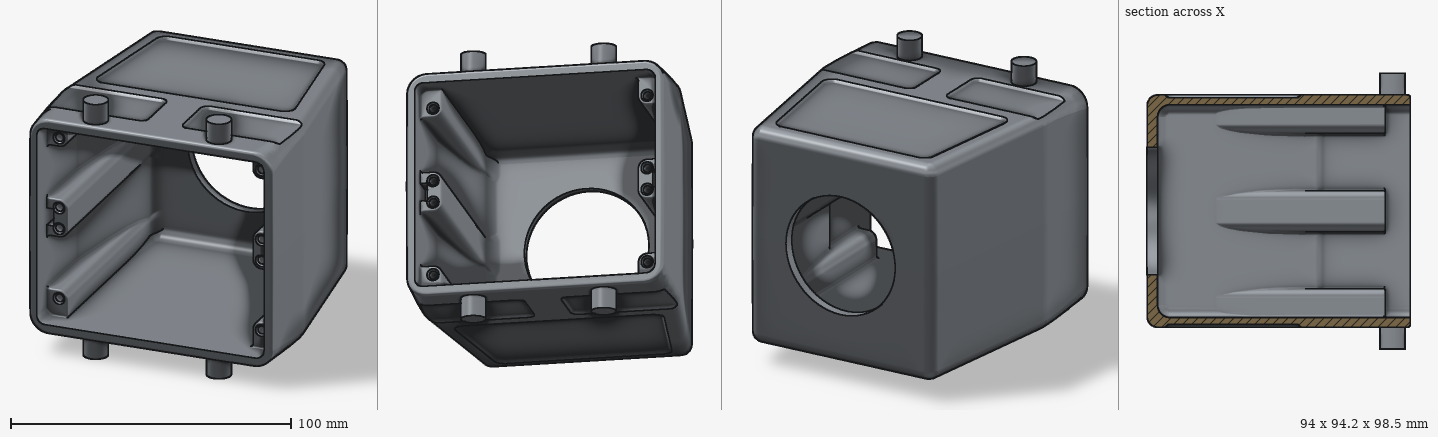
import cadquery as cq
import math


WIDTH = 94.0
LENGTH = 94.15
HEIGHT = 83.0
PARTING_DRAFT = 0.25
SIDE_SLOPE = 8.0
SKIRT_LENGTH = 30.0
SKIRT_BLEND = 20.0
EDGE_RADIUS = 4.0
RIM_CORNER_RADIUS = 7.5
RIM_ROUND = 1.2

CAVITY_HALF_WIDTH = 43.8
CAVITY_HEIGHT = 75.8
CAVITY_CORNER = 3.0
FLOOR_RADIUS = 4.4
SIDE_FLOOR_RADIUS = 3.5
BACK_WALL = 4.0
CAVITY_SKIRT_END = 43.2
CAVITY_SLOPE_START = 36.0
THICK_WALL = 2.8
STEP_START = 31.0
STEP_END = 33.5
STEP_ROUND = 1.5
CABLE_HOLE_DIAMETER = 45.4

POST_START = 9.0
POST_HOLE_X = 39.0
CORNER_HOLE_Z = 31.0
CENTRE_HOLE_Z = 4.0
POST_RADIUS = 3.3
POST_END_ROUND = 0.6
POST_FILLET = 1.2
SCREW_DIAMETER = 3.0
SCREW_DEPTH = 12.0
SCREW_CHAMFER = 0.7
NOTCH_X = 41.0
NOTCH_HEIGHT = 6.6
NOTCH_DEPTH = 8.0

PIN_DIAMETER = 9.0
PIN_SPACING = 47.5
PIN_Y = 6.45
PIN_SPAN = 98.5
PIN_EMBED = 1.0

RECESS_DEPTH = 1.0
RECESS_FLOOR_ROUND = 0.4
RECESS_WALL = 1.2
PANEL_FRONT = 39.0
PANEL_BACK = 87.6
PANEL_FRONT_HALF = 38.7
PANEL_CORNER = 4.0
PAD_FRONT = 11.7
PAD_BACK = 33.6
PAD_INNER = 6.6
PAD_CORNER = 3.0

TOLERANCE = 0.01

HALF_HEIGHT = HEIGHT / 2
SLOPE = math.tan(math.radians(SIDE_SLOPE))


def box_between(x_range, y_range, z_range):
    sizes = [high - low for low, high in (x_range, y_range, z_range)]
    corner = (x_range[0], y_range[0], z_range[0])
    return cq.Workplane("XY").box(*sizes, centered=False).translate(corner)


def near_y(y):
    """Selector for edges of the upper half shell whose centres lie close to the given Y."""
    reach = 1
    return cq.selectors.BoxSelector(
        (-WIDTH, y - reach, TOLERANCE), (WIDTH, y + reach, HALF_HEIGHT - TOLERANCE))


def mirrored_pair(part, plane):
    return part.union(part.mirror(plane))


def round_long_edges(solid):
    """Round the rim of the flat Z face, widening along the skirt toward the opening."""
    builder = cq.occ_impl.shapes.BRepFilletAPI_MakeFillet(solid.wrapped)
    for edge in solid.Edges():
        centre = edge.Center()
        on_flat_face = centre.z > HALF_HEIGHT - TOLERANCE
        if on_flat_face and TOLERANCE < centre.y < SKIRT_LENGTH / 2 + 1:
            starts_at_opening = edge.startPoint().y < TOLERANCE
            start_radius, end_radius = EDGE_RADIUS, RIM_CORNER_RADIUS
            if starts_at_opening:
                start_radius, end_radius = RIM_CORNER_RADIUS, EDGE_RADIUS
            builder.Add(start_radius, end_radius, edge.wrapped)
    return cq.Workplane(cq.Shape.cast(builder.Shape()).Solids()[0])


def outer_shell():
    back_half_width = WIDTH / 2 - (LENGTH - SKIRT_LENGTH) * SLOPE
    half = (
        cq.Workplane("XY")
        .moveTo(-WIDTH / 2, -SKIRT_LENGTH)
        .lineTo(WIDTH / 2, -SKIRT_LENGTH)
        .lineTo(WIDTH / 2, SKIRT_LENGTH)
        .lineTo(back_half_width, LENGTH)
        .lineTo(-back_half_width, LENGTH)
        .lineTo(-WIDTH / 2, SKIRT_LENGTH)
        .close()
        .extrude(HALF_HEIGHT, taper=PARTING_DRAFT)
    )
    half = half.intersect(box_between((-WIDTH, WIDTH), (0, LENGTH), (0, HEIGHT)))

    half = half.edges(near_y(SKIRT_LENGTH)).edges("not #Z").fillet(SKIRT_BLEND)
    half = half.edges(near_y(LENGTH)).edges("not #Z").fillet(EDGE_RADIUS)
    half = round_long_edges(half.val().Solids()[0])
    half = half.faces("<Y").edges("not(<Z)").fillet(RIM_ROUND)
    return mirrored_pair(half, "XY")


def cavity():
    floor_y = LENGTH - BACK_WALL
    lean = (floor_y - CAVITY_SLOPE_START) * SLOPE
    step_x = CAVITY_SKIRT_END - THICK_WALL + (CAVITY_SLOPE_START - STEP_END) * SLOPE
    space = (
        cq.Workplane("XY")
        .moveTo(-CAVITY_HALF_WIDTH, 0)
        .lineTo(CAVITY_HALF_WIDTH, 0)
        .lineTo(CAVITY_SKIRT_END, STEP_START)
        .lineTo(step_x, STEP_END)
        .lineTo(CAVITY_SKIRT_END - THICK_WALL - lean, floor_y)
        .lineTo(lean - CAVITY_SKIRT_END, floor_y)
        .lineTo(-CAVITY_SKIRT_END, CAVITY_SLOPE_START)
        .close()
        .extrude(CAVITY_HEIGHT / 2, both=True)
    )
    step_bends = cq.selectors.BoxSelector(
        (0, STEP_START - TOLERANCE, -HEIGHT), (WIDTH, STEP_END + TOLERANCE, HEIGHT))
    space = space.edges(step_bends).edges("|Z").fillet(STEP_ROUND)
    space = space.faces(">Y").edges("|X").fillet(FLOOR_RADIUS)
    space = space.faces(">Y").edges("|Z").fillet(SIDE_FLOOR_RADIUS)
    corners = cq.selectors.BoxSelector((-WIDTH, 1, -HEIGHT), (WIDTH, LENGTH * 2 / 3, HEIGHT))
    return space.faces("<Z or >Z").edges(corners).fillet(CAVITY_CORNER)


def post(z_low, z_high):
    """Screw post on the +X side, with its foot flared into the cavity floor."""
    floor_y = LENGTH - BACK_WALL
    face_x = POST_HOLE_X - POST_RADIUS
    bar = box_between((face_x, WIDTH / 2), (POST_START, LENGTH), (z_low, z_high))
    bar = bar.edges("|Y and <X").fillet(POST_RADIUS)
    margin = 2 * FLOOR_RADIUS
    foot = box_between(
        (face_x - margin, WIDTH / 2), (floor_y, LENGTH), (z_low - margin, z_high + margin))
    flare = cq.selectors.BoxSelector(
        (face_x - TOLERANCE, floor_y - TOLERANCE, z_low - TOLERANCE),
        (WIDTH / 2 - TOLERANCE, floor_y + TOLERANCE, z_high + TOLERANCE),
    )
    return bar.union(foot).edges(flare).fillet(FLOOR_RADIUS)


def posts():
    corner = post(CORNER_HOLE_Z - POST_RADIUS, HALF_HEIGHT)
    centre = post(-CENTRE_HOLE_Z - POST_RADIUS, CENTRE_HOLE_Z + POST_RADIUS)
    notch = box_between(
        (NOTCH_X, WIDTH / 2),
        (POST_START, POST_START + NOTCH_DEPTH),
        (-NOTCH_HEIGHT / 2, NOTCH_HEIGHT / 2),
    )
    centre = centre.cut(notch)
    side = centre.union(mirrored_pair(corner, "XY"))
    return mirrored_pair(side, "YZ")


def round_post_roots(hood):
    """Fillet the seams where the post flanks meet the cavity sides."""
    flanks = (CORNER_HOLE_Z - POST_RADIUS, CENTRE_HOLE_Z + POST_RADIUS)
    seams = []
    for edge in hood.edges().vals():
        centre = edge.Center()
        along_post = POST_START + TOLERANCE < centre.y < LENGTH - BACK_WALL - FLOOR_RADIUS
        at_wall = POST_HOLE_X < abs(centre.x) < CAVITY_HALF_WIDTH
        level = edge.BoundingBox().zlen < TOLERANCE
        on_flank = any(abs(abs(centre.z) - flank) < TOLERANCE for flank in flanks)
        if along_post and at_wall and level and on_flank:
            seams.append(edge)
    return hood.newObject(seams).fillet(POST_FILLET)


def round_post_ends(hood):
    """Round the cavity-side border of the post end faces."""
    border = []
    for edge in hood.edges().vals():
        centre = edge.Center()
        in_end_plane = abs(centre.y - POST_START) < TOLERANCE and edge.BoundingBox().ylen < TOLERANCE
        if in_end_plane and abs(centre.x) < POST_HOLE_X:
            border.append(edge)
    return hood.newObject(border).fillet(POST_END_ROUND)


def screw_holes():
    hole = (
        cq.Workplane("XZ", origin=(0, POST_START, 0))
        .circle(SCREW_DIAMETER / 2)
        .extrude(-SCREW_DEPTH)
    )
    mouth = cq.Workplane(cq.Solid.makeCone(
        SCREW_DIAMETER / 2 + SCREW_CHAMFER, SCREW_DIAMETER / 2, SCREW_CHAMFER,
        cq.Vector(0, POST_START, 0), cq.Vector(0, 1, 0)))
    hole = hole.union(mouth)
    holes = cq.Workplane("XY")
    for x in (-POST_HOLE_X, POST_HOLE_X):
        for z in (-CORNER_HOLE_Z, -CENTRE_HOLE_Z, CENTRE_HOLE_Z, CORNER_HOLE_Z):
            holes = holes.add(hole.translate((x, 0, z)))
    return holes.combine()


def cable_hole():
    return (
        cq.Workplane("XZ", origin=(0, LENGTH / 2, 0))
        .circle(CABLE_HOLE_DIAMETER / 2)
        .extrude(-LENGTH)
    )


def locking_pins():
    return (
        cq.Workplane("XY", origin=(0, PIN_Y, HALF_HEIGHT - PIN_EMBED))
        .pushPoints([(-PIN_SPACING / 2, 0), (PIN_SPACING / 2, 0)])
        .circle(PIN_DIAMETER / 2)
        .extrude((PIN_SPAN - HEIGHT) / 2 + PIN_EMBED)
    )


def recess(points, corner_radius):
    """Sloped-wall recess in the +Z face with the given outline at the surface."""
    wall_angle = math.degrees(math.atan2(RECESS_WALL, RECESS_DEPTH))
    prism = cq.Workplane("XY").polyline(points).close().extrude(RECESS_DEPTH)
    outline = prism.edges("|Z").fillet(corner_radius).faces("<Z").wires().val()
    return (
        cq.Workplane("XY")
        .add(outline)
        .toPending()
        .extrude(-RECESS_DEPTH, taper=wall_angle)
        .translate((0, 0, HALF_HEIGHT))
        .faces("<Z")
        .edges()
        .fillet(RECESS_FLOOR_ROUND)
    )


def face_recesses():
    panel_back_half = PANEL_FRONT_HALF - (PANEL_BACK - PANEL_FRONT) * SLOPE
    panel = recess(
        [
            (-PANEL_FRONT_HALF, PANEL_FRONT),
            (PANEL_FRONT_HALF, PANEL_FRONT),
            (panel_back_half, PANEL_BACK),
            (-panel_back_half, PANEL_BACK),
        ],
        PANEL_CORNER,
    )
    pad = recess(
        [(PAD_INNER, PAD_FRONT), (WIDTH, PAD_FRONT), (WIDTH, PAD_BACK), (PAD_INNER, PAD_BACK)],
        PAD_CORNER,
    )
    return panel.union(mirrored_pair(pad, "YZ"))


shell = outer_shell()
result = shell.cut(cavity())
result = result.union(posts().intersect(shell))
result = round_post_ends(round_post_roots(result))
result = result.cut(screw_holes()).cut(cable_hole())
result = result.cut(mirrored_pair(face_recesses(), "XY"))
result = result.union(mirrored_pair(locking_pins(), "XY"))